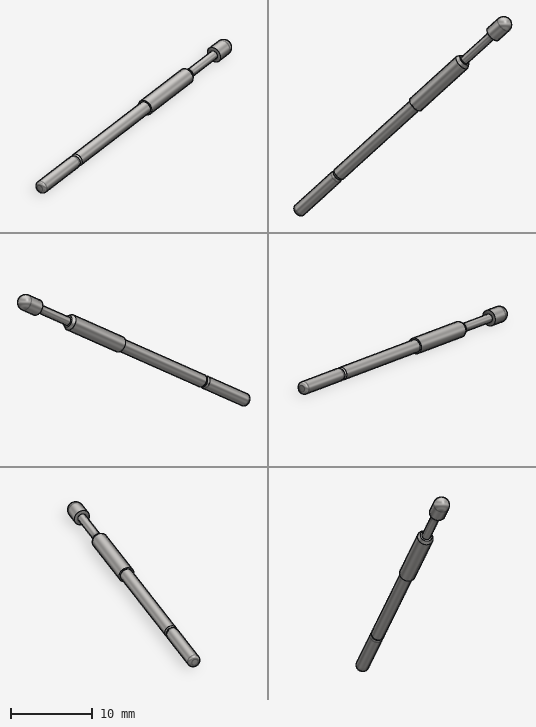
import cadquery as cq
import math

total_length = 39.3
head_diameter = 2.0
head_radius = head_diameter / 2
sleeve_radius = head_radius
sleeve_tip_radius = 0.75
rod_diameter = 1.05
rod_radius = rod_diameter / 2
barrel_diameter = 1.6
barrel_radius = barrel_diameter / 2
groove_radius = 0.7

head_length = 3.0
sleeve_start = 8.3
sleeve_taper_end = 8.72
sleeve_end = 17.35
groove_start = 31.55
groove_bottom = 31.85
groove_end = 32.15

tail_rounding = 0.4

head_top = total_length / 2
arc_middle = math.sqrt(0.5)


def at(radius, distance):
    """Profile point at a radius and a distance from the top of the head."""
    return (radius, head_top - distance)


def on_rounding(outer_radius, rounding, centre_distance, direction):
    """Middle of a quarter-circle rounding; direction -1 is toward the head, +1 toward the tail."""
    radius = outer_radius - rounding + rounding * arc_middle
    return at(radius, centre_distance + direction * rounding * arc_middle)


tail_round_start = total_length - tail_rounding

profile = (
    cq.Workplane("XY")
    .moveTo(*at(0, 0))
    .threePointArc(on_rounding(head_radius, head_radius, head_radius, -1), at(head_radius, head_radius))
    .lineTo(*at(head_radius, head_length))
    .lineTo(*at(rod_radius, head_length))
    .lineTo(*at(rod_radius, sleeve_start))
    .lineTo(*at(sleeve_tip_radius, sleeve_start))
    .lineTo(*at(sleeve_radius, sleeve_taper_end))
    .lineTo(*at(sleeve_radius, sleeve_end))
    .lineTo(*at(barrel_radius, sleeve_end))
    .lineTo(*at(barrel_radius, groove_start))
    .lineTo(*at(groove_radius, groove_bottom))
    .lineTo(*at(barrel_radius, groove_end))
    .lineTo(*at(barrel_radius, tail_round_start))
    .threePointArc(
        on_rounding(barrel_radius, tail_rounding, tail_round_start, 1),
        at(barrel_radius - tail_rounding, total_length),
    )
    .lineTo(*at(0, total_length))
    .close()
)

result = profile.revolve(360, (0, 0, 0), (0, 1, 0))